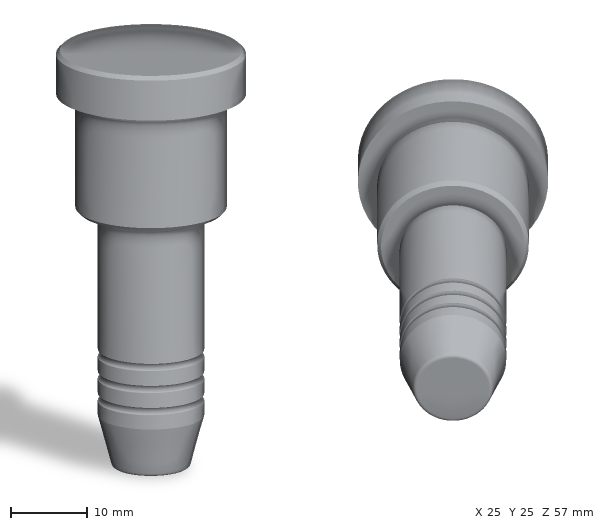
import cadquery as cq
import math

total_height = 57.0
head_radius = 25.0 / 2
head_height = 6.0
body_radius = 10.0
body_height = 16.0
shank_radius = 7.0
neck_radius = 6.5
neck_height = 0.95

edge_chamfer = 0.5

groove_width = 1.0
groove_pitch = 3.0
groove_count = 3
lowest_groove_bottom = 8.95

tip_height = 7.0
tip_taper_degrees = 15
tip_rounding = 0.5

head_bottom = total_height - head_height
body_bottom = head_bottom - body_height
neck_bottom = body_bottom - neck_height
tip_radius = shank_radius - tip_height * math.tan(math.radians(tip_taper_degrees))


def cylinder(radius, bottom, top):
    return cq.Workplane("XY").workplane(offset=bottom).circle(radius).extrude(top - bottom)


def ring_groove(radius, bottom):
    """Ring of circular section, centred on the surface, to cut a half-round groove."""
    middle = bottom + groove_width / 2
    section = cq.Workplane("XZ").center(radius, middle).circle(groove_width / 2)
    return section.revolve(360, (-radius, 0, 0), (-radius, 1, 0))


head = cylinder(head_radius, head_bottom, total_height).faces(">Z").chamfer(edge_chamfer)

body = cylinder(body_radius, body_bottom, head_bottom).faces("<Z").chamfer(edge_chamfer)
body = body.cut(ring_groove(body_radius, head_bottom - groove_width))

neck = cylinder(neck_radius, neck_bottom, body_bottom)

shank = cylinder(shank_radius, tip_height, neck_bottom)
for index in range(groove_count):
    shank = shank.cut(ring_groove(shank_radius, lowest_groove_bottom + index * groove_pitch))

tip_profile = [(0, 0), (tip_radius, 0), (shank_radius, tip_height), (0, tip_height)]
tip = cq.Workplane("XZ").polyline(tip_profile).close().revolve(360, (0, 0, 0), (0, 1, 0))
tip = tip.faces("<Z").fillet(tip_rounding)

result = head.union(body).union(neck).union(shank).union(tip)